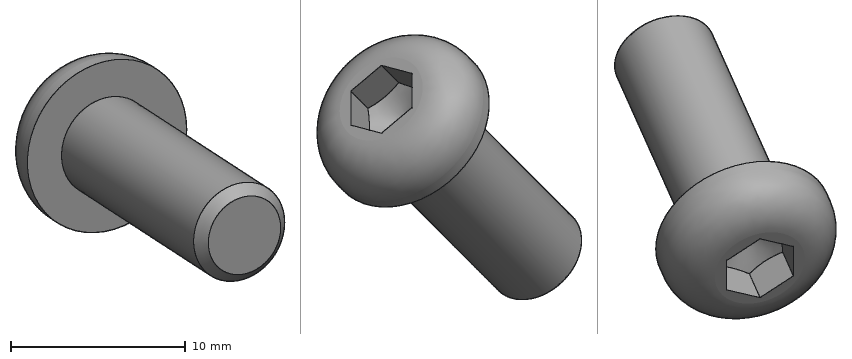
import cadquery as cq
import math

total_length = 19.3
head_diameter = 10.5
head_height = 3.3
rim_width = 0.7
face_diameter = 5.4
shank_diameter = 6.0
tip_chamfer = 0.62

socket_flats = 4.0
socket_depth = 2.08
floor_cone_angle = 120.0

head_radius = head_diameter / 2
face_radius = face_diameter / 2
shank_radius = shank_diameter / 2
socket_corner_radius = socket_flats / math.sqrt(3)


def make_body():
    """Revolve the half profile of domed head and chamfered shank about X."""
    dome_height = head_height - rim_width
    dome_width = head_radius - face_radius
    dome_radius = (dome_height**2 + dome_width**2) / (2 * dome_width)
    half_sweep = math.atan2(dome_width, dome_height)
    dome_middle = (
        dome_height - dome_radius * math.sin(half_sweep),
        head_radius - dome_radius + dome_radius * math.cos(half_sweep),
    )
    return (
        cq.Workplane("XY")
        .lineTo(0, face_radius)
        .threePointArc(dome_middle, (dome_height, head_radius))
        .lineTo(head_height, head_radius)
        .lineTo(head_height, shank_radius)
        .lineTo(total_length - tip_chamfer, shank_radius)
        .lineTo(total_length, shank_radius - tip_chamfer)
        .lineTo(total_length, 0)
        .close()
        .revolve(360, (0, 0, 0), (1, 0, 0))
    )


def make_socket():
    """Hexagonal recess with corners toward +Z and -Z, ending in a cone."""
    cone_height = socket_corner_radius / math.tan(math.radians(floor_cone_angle / 2))
    corners = []
    for index in range(6):
        angle = math.radians(90 + 60 * index)
        corners.append((socket_corner_radius * math.cos(angle), socket_corner_radius * math.sin(angle)))
    prism = cq.Workplane("YZ").polyline(corners).close().extrude(socket_depth + cone_height)
    pointed_envelope = (
        cq.Workplane("XY")
        .lineTo(0, socket_corner_radius)
        .lineTo(socket_depth, socket_corner_radius)
        .lineTo(socket_depth + cone_height, 0)
        .close()
        .revolve(360, (0, 0, 0), (1, 0, 0))
    )
    return prism.intersect(pointed_envelope)


result = make_body().cut(make_socket())